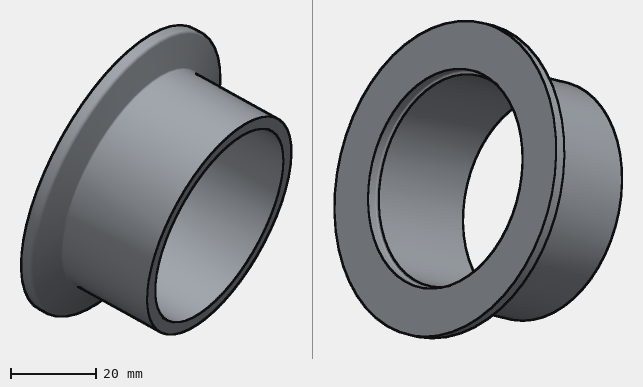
import cadquery as cq
import math

length = 30.0
flange_radius = 37.5
rim_width = 2.25
rim_round = 1.0
taper_angle = math.radians(15)
tube_radius = 28.5
root_round = 0.5

bore_radius = 25.3
recess_radius = 26.1
recess_depth = 2.7
recess_round = 0.3

round_centre_x = rim_width
round_centre_r = flange_radius - rim_round


def rim_round_point(angle):
    """Point on the rim round, with the angle measured up from the X axis."""
    return (
        round_centre_x + rim_round * math.cos(angle),
        round_centre_r + rim_round * math.sin(angle),
    )


taper_start = rim_round_point(taper_angle)
round_middle = rim_round_point((taper_angle + math.pi / 2) / 2)
taper_end_x = taper_start[0] + (taper_start[1] - tube_radius) * math.tan(taper_angle)

root_tangent = root_round * math.tan((math.pi / 2 - taper_angle) / 2)
root_start = (
    taper_end_x - root_tangent * math.sin(taper_angle),
    tube_radius + root_tangent * math.cos(taper_angle),
)
root_end = (taper_end_x + root_tangent, tube_radius)
root_centre = (root_end[0], tube_radius + root_round)
root_middle_angle = (math.pi + taper_angle + 3 * math.pi / 2) / 2
root_middle = (
    root_centre[0] + root_round * math.cos(root_middle_angle),
    root_centre[1] + root_round * math.sin(root_middle_angle),
)

recess_round_middle = (
    recess_depth - recess_round * (1 - math.sqrt(0.5)),
    recess_radius - recess_round * (1 - math.sqrt(0.5)),
)

half_section = (
    cq.Workplane("XZ")
    .moveTo(0, recess_radius)
    .lineTo(0, flange_radius)
    .lineTo(rim_width, flange_radius)
    .threePointArc(round_middle, taper_start)
    .lineTo(*root_start)
    .threePointArc(root_middle, root_end)
    .lineTo(length, tube_radius)
    .lineTo(length, bore_radius)
    .lineTo(recess_depth, bore_radius)
    .lineTo(recess_depth, recess_radius - recess_round)
    .threePointArc(recess_round_middle, (recess_depth - recess_round, recess_radius))
    .close()
)

result = half_section.revolve(360, (0, 0, 0), (1, 0, 0))